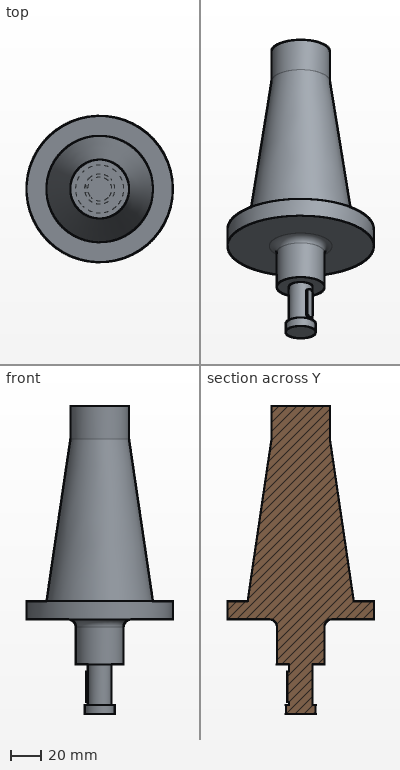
import cadquery as cq

overall_height = 204.8
cap_top = 6.1
shaft_top = 33.0
flange_bottom = 62.9
flange_top = 75.2
cone_top = 182.9

cap_diameter = 20.0
shaft_diameter = 16.0
collar_diameter = 32.0
flange_diameter = 97.5
cone_base_diameter = 70.9
nose_diameter = 39.1

collar_fillet = 5.0

key_length = 20.5
key_width = 5.0
key_bottom = 8.0
key_outer_reach = 9.0


def turned_section(bottom, top, diameter):
    """Cylinder on the Z axis between two heights."""
    return cq.Workplane("XY").workplane(offset=bottom).circle(diameter / 2).extrude(top - bottom)


def collar_and_flange():
    """Collar blended into the underside of the flange."""
    collar = turned_section(shaft_top, flange_bottom, collar_diameter)
    flange = turned_section(flange_bottom, flange_top, flange_diameter)
    inner_corner = cq.selectors.RadiusNthSelector(0)
    return collar.union(flange).faces("<Z[1]").edges(inner_corner).fillet(collar_fillet)


def cone():
    """Taper from the flange up to the cylindrical nose."""
    return (
        cq.Workplane("XY")
        .workplane(offset=flange_top)
        .circle(cone_base_diameter / 2)
        .workplane(offset=cone_top - flange_top)
        .circle(nose_diameter / 2)
        .loft(combine=True)
    )


def key():
    """Key running along Z, from the shaft axis out to its flat outer face."""
    return (
        cq.Workplane("YZ")
        .center(0, key_bottom + key_length / 2)
        .slot2D(key_length, key_width, 90)
        .extrude(-key_outer_reach)
    )


result = (
    turned_section(0, cap_top, cap_diameter)
    .union(turned_section(cap_top, shaft_top, shaft_diameter))
    .union(collar_and_flange())
    .union(cone())
    .union(turned_section(cone_top, overall_height, nose_diameter))
    .union(key())
)